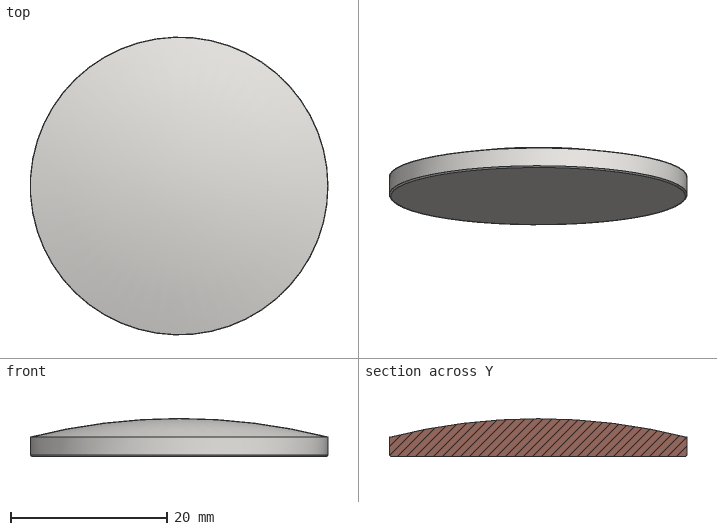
import cadquery as cq
import math

diameter = 38.1
center_thickness = 4.88
curvature_radius = 77.3
bevel = 0.2

rim_radius = diameter / 2
sphere_center_height = center_thickness - curvature_radius


def dome_height(radial_distance):
    """Height of the spherical face at a distance from the optical axis."""
    return sphere_center_height + math.sqrt(curvature_radius**2 - radial_distance**2)


def make_lens():
    """Revolve the half section of the lens around the optical axis."""
    half_section = (
        cq.Workplane("XZ")
        .moveTo(0, 0)
        .lineTo(rim_radius - bevel, 0)
        .lineTo(rim_radius, bevel)
        .lineTo(rim_radius, dome_height(rim_radius))
        .threePointArc((rim_radius / 2, dome_height(rim_radius / 2)), (0, center_thickness))
        .close()
    )
    return half_section.revolve(360, (0, 0, 0), (0, 1, 0))


result = make_lens()